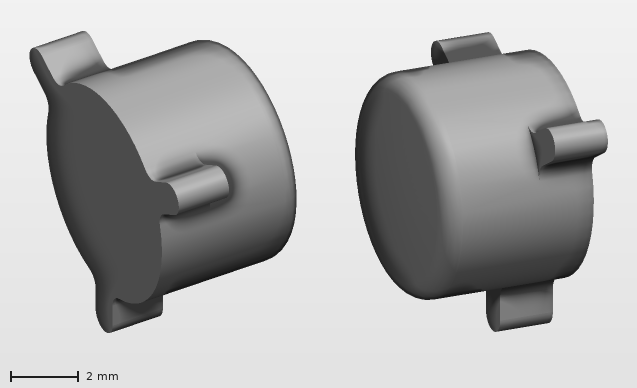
import cadquery as cq
import math

overall_width = 8.79
body_radius = 3.4
total_depth = 5.0
wall_depth = 4.23
rim_radius = 0.6
tab_thickness = 1.705
tab_half_width = 0.5
root_radius = 0.5
upper_tab_angle = 30
tab_count = 3

tab_tip_center = (overall_width / 2 - tab_half_width) / math.cos(math.radians(upper_tab_angle))
tab_reach = tab_tip_center + tab_half_width

rim_center_radius = body_radius - rim_radius
dome_rise = total_depth - wall_depth
dome_radius = (rim_center_radius**2 + dome_rise**2 - rim_radius**2) / (2 * (dome_rise - rim_radius))
dome_center_depth = total_depth - dome_radius
rim_tilt = math.atan2(rim_center_radius, wall_depth - dome_center_depth)


def rim_point(angle):
    """Point on the rim round, with the angle measured from the body axis."""
    return (
        rim_center_radius + rim_radius * math.sin(angle),
        wall_depth + rim_radius * math.cos(angle),
    )


def make_body():
    """Domed cylinder revolved about the Y axis, flat face at Y = 0."""
    dome_middle = (
        dome_radius * math.sin(rim_tilt / 2),
        dome_center_depth + dome_radius * math.cos(rim_tilt / 2),
    )
    return (
        cq.Workplane("ZY")
        .lineTo(body_radius, 0)
        .lineTo(body_radius, wall_depth)
        .threePointArc(rim_point((rim_tilt + math.pi / 2) / 2), rim_point(rim_tilt))
        .threePointArc(dome_middle, (0, total_depth))
        .close()
        .revolve(360, (0, 0), (0, 1))
    )


def make_tab():
    """Round-ended tab along +X whose flanks blend into the body wall at the root."""
    root_center_z = tab_half_width + root_radius
    root_center_x = math.sqrt((body_radius + root_radius) ** 2 - root_center_z**2)
    wall_angle = math.atan2(root_center_z, root_center_x)
    wall_x = body_radius * math.cos(wall_angle)
    wall_z = body_radius * math.sin(wall_angle)
    middle_angle = (wall_angle + math.pi / 2) / 2
    middle_x = root_center_x - root_radius * math.cos(middle_angle)
    middle_z = root_center_z - root_radius * math.sin(middle_angle)
    return (
        cq.Workplane("XZ")
        .lineTo(wall_x, wall_z)
        .threePointArc((middle_x, middle_z), (root_center_x, tab_half_width))
        .lineTo(tab_tip_center, tab_half_width)
        .threePointArc((tab_reach, 0), (tab_tip_center, -tab_half_width))
        .lineTo(root_center_x, -tab_half_width)
        .threePointArc((middle_x, -middle_z), (wall_x, -wall_z))
        .close()
        .extrude(-tab_thickness)
    )


result = make_body()
for tab_index in range(tab_count):
    tab_angle = upper_tab_angle + tab_index * 360 / tab_count
    result = result.union(make_tab().rotate((0, 0, 0), (0, 1, 0), -tab_angle))